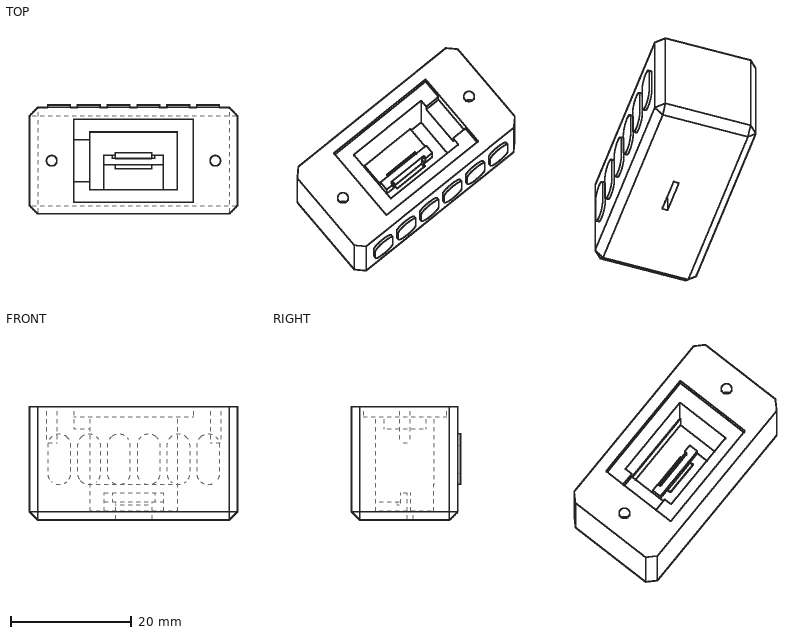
import cadquery as cq

LENGTH = 34.62
WIDTH = 17.7
HEIGHT = 18.9
CHAMFER = 1.4

POCKET_LENGTH = 19.8
POCKET_WIDTH = 13.75
POCKET_DEPTH = 1.7
POCKET_FLOOR_Z = HEIGHT - POCKET_DEPTH

CAVITY_LENGTH = 14.53
CAVITY_WIDTH = 9.7
CAVITY_FLOOR_Z = 1.6
LEDGE_WIDTH = 0.12
LEDGE_HEIGHT = 4.4

NOTCH_WIDTH = 7.0
NOTCH_DEPTH = 2.0

SCREW_DIAMETER = 1.75
SCREW_SPACING = 27.2
SCREW_DEPTH = 6.0

SEAT_LENGTH = 9.86
SEAT_FRONT_Y = -CAVITY_WIDTH / 2
SEAT_BACK_Y = 0.91
PLATFORM_HEIGHT = 1.5
BAR_FRONT_Y = -0.7
BAR_HEIGHT = 3.0
BAR_NOTCH_LENGTH = 7.09
PORT_LENGTH = 6.06
PORT_WIDTH = 2.64
PORT_FRONT_Y = 0.39
PORT_RECESS_DEPTH = 0.5

PAD_COUNT = 6
PAD_SPACING = 4.955
PAD_WIDTH = 3.76
PAD_LENGTH = 8.44
PAD_HEIGHT = 0.45
PAD_CENTER_Z = 10.16


def block(length, y_min, y_max, z_min, z_max):
    """Box centred on X = 0 between the given Y and Z limits."""
    return (
        cq.Workplane("XY")
        .box(length, y_max - y_min, z_max - z_min, centered=(True, False, False))
        .translate((0, y_min, z_min))
    )


def make_housing():
    """Block with chamfered vertical and bottom edges."""
    housing = block(LENGTH, -WIDTH / 2, WIDTH / 2, 0, HEIGHT)
    return housing.edges("|Z or <Z").chamfer(CHAMFER)


def make_pocket():
    """Shallow rectangular pocket in the top face."""
    return block(POCKET_LENGTH, -POCKET_WIDTH / 2, POCKET_WIDTH / 2, POCKET_FLOOR_Z, HEIGHT)


def make_cavity():
    """Main cavity, less the ledge along the bottom of its +Y wall."""
    back_y = CAVITY_WIDTH / 2
    cavity = block(CAVITY_LENGTH, -back_y, back_y, CAVITY_FLOOR_Z, POCKET_FLOOR_Z)
    ledge_top_z = CAVITY_FLOOR_Z + LEDGE_HEIGHT
    ledge = block(CAVITY_LENGTH, back_y - LEDGE_WIDTH, back_y, CAVITY_FLOOR_Z, ledge_top_z)
    return cavity.cut(ledge)


def make_rim_notch():
    """Notch from the -X pocket wall to the -X cavity wall."""
    notch_length = (POCKET_LENGTH - CAVITY_LENGTH) / 2
    notch_floor_z = POCKET_FLOOR_Z - NOTCH_DEPTH
    notch = block(notch_length, -NOTCH_WIDTH / 2, NOTCH_WIDTH / 2, notch_floor_z, POCKET_FLOOR_Z)
    return notch.translate((-(POCKET_LENGTH + CAVITY_LENGTH) / 4, 0, 0))


def make_screw_holes():
    """Two blind holes, one at each end of the top face."""
    return (
        cq.Workplane("XY", origin=(0, 0, HEIGHT))
        .pushPoints([(-SCREW_SPACING / 2, 0), (SCREW_SPACING / 2, 0)])
        .circle(SCREW_DIAMETER / 2)
        .extrude(-SCREW_DEPTH)
    )


def make_connector_seat():
    """Platform and cross bar, with a notch in the bar and a shallow recess in the platform."""
    platform_top_z = CAVITY_FLOOR_Z + PLATFORM_HEIGHT
    bar_top_z = CAVITY_FLOOR_Z + BAR_HEIGHT
    platform = block(SEAT_LENGTH, SEAT_FRONT_Y, BAR_FRONT_Y, CAVITY_FLOOR_Z, platform_top_z)
    bar = block(SEAT_LENGTH, BAR_FRONT_Y, SEAT_BACK_Y, CAVITY_FLOOR_Z, bar_top_z)
    bar_notch = block(BAR_NOTCH_LENGTH, PORT_FRONT_Y, SEAT_BACK_Y, platform_top_z, bar_top_z)
    recess_floor_z = platform_top_z - PORT_RECESS_DEPTH
    recess = block(PORT_LENGTH, -PORT_WIDTH / 2, BAR_FRONT_Y, recess_floor_z, platform_top_z)
    return platform.cut(recess).union(bar.cut(bar_notch))


def make_port():
    """Slot through the floor and the notched edge of the cross bar."""
    return block(PORT_LENGTH, PORT_FRONT_Y, PORT_WIDTH / 2, 0, CAVITY_FLOOR_Z + BAR_HEIGHT)


def make_pads():
    """Row of upright obround pads."""
    return (
        cq.Workplane("XZ", origin=(0, WIDTH / 2, PAD_CENTER_Z))
        .rarray(PAD_SPACING, 1, PAD_COUNT, 1)
        .slot2D(PAD_LENGTH, PAD_WIDTH, 90)
        .extrude(-PAD_HEIGHT)
    )


result = (
    make_housing()
    .cut(make_pocket())
    .cut(make_cavity())
    .cut(make_rim_notch())
    .cut(make_screw_holes())
    .union(make_connector_seat())
    .cut(make_port())
    .union(make_pads())
)